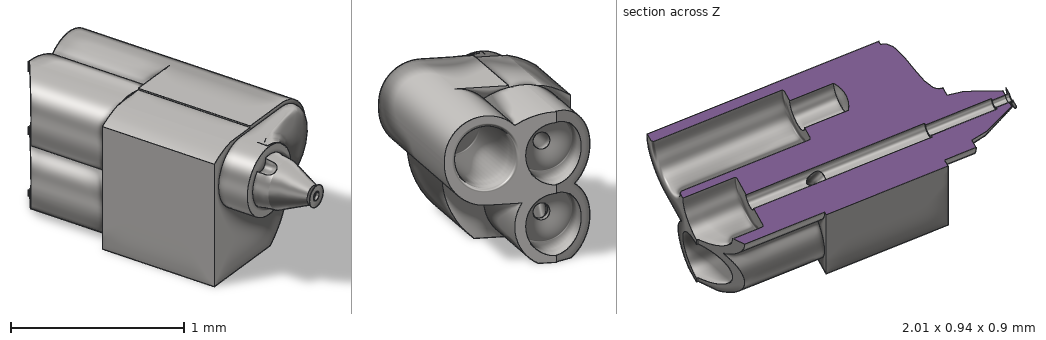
import cadquery as cq
import math


BLOCK_START = 0.70
BLOCK_END = 1.48
COLLAR_END = 1.68

TUBE_RADIUS = 0.25
TUBE_PITCH = 0.42
LOWER_Z = -TUBE_PITCH
SIDE_Y = TUBE_PITCH
SIDE_DROP = 0.03

BLOCK_RADIUS = 0.50
BLOCK_CENTER_Z = TUBE_RADIUS - BLOCK_RADIUS
BLOCK_FRONT_Y = -0.27
BODY_BOTTOM_Z = -0.645
CREST_HALF_WIDTH = 0.10

BEVEL_START_X = 0.01
BEVEL_END_X = 0.19

BORE_DIAMETER = 0.37
STACKED_BORE_DEPTH = 0.34
BORE_FLOOR_FILLET = 0.01
SIDE_BORE_DEPTH = 0.84
SIDE_MOUTH_FILLET = 0.02
SIDE_FLOOR_FILLET = 0.013
SIDE_PORT_DIAMETER = 0.20
SIDE_PORT_END = 1.12
SIDE_DISH_DEPTH = 0.03
SIDE_DISH_RADIUS = (SIDE_PORT_DIAMETER**2 / 4 + SIDE_DISH_DEPTH**2) / (2 * SIDE_DISH_DEPTH)
PORT_DIAMETER = 0.10
LOWER_PORT_DEPTH = 0.05
LOWER_CHANNEL_DIAMETER = 0.08
LOWER_CHANNEL_ANGLE = 45.0
NECK_DIAMETER = 0.075
NECK_START = 1.48
NECK_END = 1.90
OUTLET_DIAMETER = 0.05

COLLAR_RADIUS = 0.225
SHOULDER_RADIUS = 0.17
KNEE_RADIUS = 0.152
KNEE_X = 1.78
CONE_END_RADIUS = 0.06
CONE_END_X = 1.985
PIN_RADIUS = 0.03
TIP_X = 2.01
FLANGE_RADIUS = 0.07
FLANGE_THICKNESS = 0.002

GROOVE_RADIUS = 0.05
GROOVE_AXIS_RADIUS = 0.175
GROOVE_END_X = 1.785
GROOVE_ANGLES = (120.0, 240.0)

BLEND_PULL = 0.13
BLEND_STEPS = 10
BLEND_LAST = 0.97


def rod(start_x, end_x, radius, y=0.0, z=0.0):
    """Round bar along X."""
    plane = cq.Workplane("YZ", origin=(start_x, y, z))
    return plane.circle(radius).extrude(end_x - start_x)


def bar(start_x, end_x, y_range, z_range):
    """Rectangular bar along X."""
    size = (end_x - start_x, y_range[1] - y_range[0], z_range[1] - z_range[0])
    return cq.Workplane("XY").box(*size, centered=False).translate((start_x, y_range[0], z_range[0]))


def large_round(start_x, end_x):
    return rod(start_x, end_x, BLOCK_RADIUS, z=BLOCK_CENTER_Z)


def side_tube():
    """Tube over the whole body length, stretched slightly downward."""
    width_y = (SIDE_Y - TUBE_RADIUS, SIDE_Y + TUBE_RADIUS)
    tube = bar(0, BLOCK_END, width_y, (-SIDE_DROP, 0))
    for drop in (0, SIDE_DROP):
        tube = tube.union(rod(0, BLOCK_END, TUBE_RADIUS, y=SIDE_Y, z=-drop))
    return tube


def stacked_tubes():
    """Upper and lower tubes in front of the block, with the web that joins all three tubes."""
    web = bar(0, BLOCK_START, (0, SIDE_Y), (-TUBE_RADIUS - SIDE_DROP, TUBE_RADIUS))
    tubes = web.intersect(large_round(0, BLOCK_START))
    for z in (0, LOWER_Z):
        tubes = tubes.union(rod(0, BLOCK_START, TUBE_RADIUS, z=z))
    return tubes.intersect(bar(0, BLOCK_START, (-TUBE_RADIUS, SIDE_Y), (BODY_BOTTOM_Z, TUBE_RADIUS)))


def block():
    reach = (BLOCK_FRONT_Y, BLOCK_RADIUS)
    crest_z = BLOCK_CENTER_Z + math.sqrt(BLOCK_RADIUS**2 - CREST_HALF_WIDTH**2)
    shape = large_round(BLOCK_START, BLOCK_END)
    shape = shape.intersect(bar(BLOCK_START, BLOCK_END, reach, (BODY_BOTTOM_Z, crest_z)))
    raised = bar(BLOCK_START, BLOCK_END, (CREST_HALF_WIDTH, SIDE_Y), (0, TUBE_RADIUS))
    return shape.union(raised)


def mouth_bevel():
    """Wedge taken off the -Y half of the stacked tubes' mouth."""
    outline = [
        (0, 0),
        (BEVEL_START_X, 0),
        (BEVEL_END_X, -TUBE_RADIUS),
        (0, -TUBE_RADIUS),
    ]
    height = TUBE_RADIUS - BODY_BOTTOM_Z
    return cq.Workplane("XY", origin=(0, 0, BODY_BOTTOM_Z)).polyline(outline).close().extrude(height)


def nozzle():
    outline = [
        (BLOCK_END, 0),
        (BLOCK_END, COLLAR_RADIUS),
        (COLLAR_END, COLLAR_RADIUS),
        (COLLAR_END, SHOULDER_RADIUS),
        (KNEE_X, KNEE_RADIUS),
        (CONE_END_X, CONE_END_RADIUS),
        (CONE_END_X, PIN_RADIUS),
        (TIP_X - FLANGE_THICKNESS, PIN_RADIUS),
        (TIP_X - FLANGE_THICKNESS, FLANGE_RADIUS),
        (TIP_X, FLANGE_RADIUS),
        (TIP_X, 0),
    ]
    return cq.Workplane("XY").polyline(outline).close().revolve(360, (0, 0, 0), (1, 0, 0))


def blend_section(t):
    """Outline of the blend at t (0 at the block, 1 at the collar's end).

    The nose's center follows a cubic curve that leaves and arrives along X.
    The section is a round nose of the collar's radius, carried back to Y = 0 by flats.
    """
    s = 1 - t
    length = COLLAR_END - BLOCK_END
    x = BLOCK_END + 3 * s**2 * t * BLEND_PULL + 3 * s * t**2 * (length - BLEND_PULL) + t**3 * length
    nose_y = SIDE_Y * (s**3 + 3 * s**2 * t)
    sketch = cq.Workplane("YZ", origin=(x, 0, 0)).moveTo(0, COLLAR_RADIUS).lineTo(nose_y, COLLAR_RADIUS)
    sketch = sketch.threePointArc((nose_y + COLLAR_RADIUS, 0), (nose_y, -COLLAR_RADIUS))
    return sketch.lineTo(0, -COLLAR_RADIUS).close().val()


def blend():
    sections = [blend_section(BLEND_LAST * i / BLEND_STEPS) for i in range(BLEND_STEPS + 1)]
    return cq.Workplane(cq.Solid.makeLoft(sections))


def stacked_bore(z):
    bore = rod(0, STACKED_BORE_DEPTH, BORE_DIAMETER / 2, z=z)
    return bore.faces(">X").edges().fillet(BORE_FLOOR_FILLET)


def upper_passage():
    passage = stacked_bore(0)
    passage = passage.union(rod(0, NECK_START, PORT_DIAMETER / 2))
    passage = passage.union(rod(0, NECK_END, NECK_DIAMETER / 2))
    return passage.union(rod(0, TIP_X, OUTLET_DIAMETER / 2))


def lower_passage():
    """Blind bore and port with a sloping channel that rises into the upper passage."""
    port_end = STACKED_BORE_DEPTH + LOWER_PORT_DEPTH
    passage = stacked_bore(LOWER_Z).union(rod(0, port_end, PORT_DIAMETER / 2, z=LOWER_Z))
    angle = math.radians(LOWER_CHANNEL_ANGLE)
    direction = cq.Vector(math.cos(angle), 0, math.sin(angle))
    floor_center = cq.Vector(port_end, 0, LOWER_Z)
    channel = cq.Solid.makeCylinder(
        LOWER_CHANNEL_DIAMETER / 2,
        LOWER_CHANNEL_DIAMETER + TUBE_PITCH / math.sin(angle),
        floor_center - direction * LOWER_CHANNEL_DIAMETER,
        direction,
    )
    beyond_port = bar(port_end, BLOCK_END, (-TUBE_RADIUS, TUBE_RADIUS), (BODY_BOTTOM_Z, 0))
    return passage.union(beyond_port.intersect(cq.Workplane(channel)))


def side_passage():
    """Bore with a flared mouth and rounded floor, leading to a port with a dished end."""
    bore_y = SIDE_Y + BORE_DIAMETER / 2
    port_y = SIDE_Y + SIDE_PORT_DIAMETER / 2
    outline = (
        cq.Workplane("XY")
        .moveTo(0, SIDE_Y)
        .lineTo(0, bore_y + SIDE_MOUTH_FILLET)
        .radiusArc((SIDE_MOUTH_FILLET, bore_y), -SIDE_MOUTH_FILLET)
        .lineTo(SIDE_BORE_DEPTH - SIDE_FLOOR_FILLET, bore_y)
        .radiusArc((SIDE_BORE_DEPTH, bore_y - SIDE_FLOOR_FILLET), SIDE_FLOOR_FILLET)
        .lineTo(SIDE_BORE_DEPTH, port_y)
        .lineTo(SIDE_PORT_END, port_y)
        .radiusArc((SIDE_PORT_END + SIDE_DISH_DEPTH, SIDE_Y), SIDE_DISH_RADIUS)
        .close()
    )
    return outline.revolve(360, (0, SIDE_Y, 0), (1, SIDE_Y, 0))


def groove(angle):
    """Round-bottomed groove along X with a ball end."""
    y = GROOVE_AXIS_RADIUS * math.cos(math.radians(angle))
    z = GROOVE_AXIS_RADIUS * math.sin(math.radians(angle))
    ball_x = GROOVE_END_X - GROOVE_RADIUS
    ball = cq.Workplane("XY").sphere(GROOVE_RADIUS).translate((ball_x, y, z))
    tip = ball.intersect(rod(ball_x, GROOVE_END_X, GROOVE_RADIUS, y, z))
    return rod(COLLAR_END, ball_x, GROOVE_RADIUS, y, z).union(tip)


result = stacked_tubes().union(side_tube()).union(block())
result = result.cut(mouth_bevel())
result = result.union(nozzle()).union(blend())
for groove_angle in GROOVE_ANGLES:
    result = result.cut(groove(groove_angle))
for passage in (upper_passage(), lower_passage(), side_passage()):
    result = result.cut(passage)